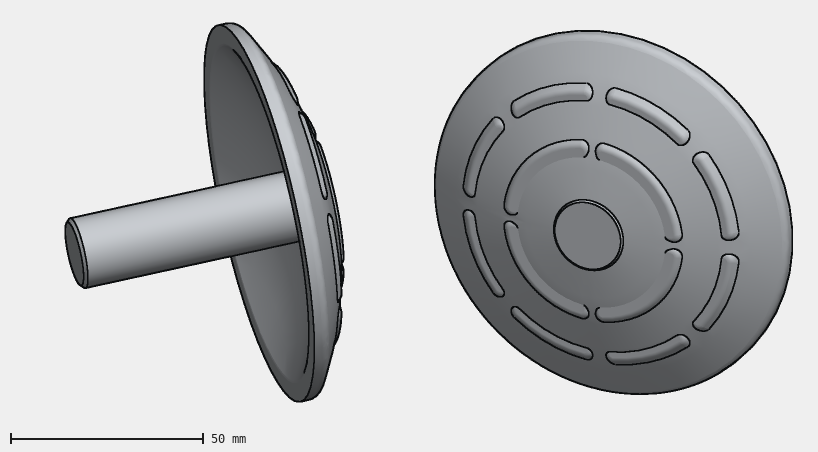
import cadquery as cq
import math

cap_radius = 50.0
dome_height = 18.3
dome_sphere_radius = 92.0
rim_fillet = 2.5

hollow_depth = 13.7
hollow_sphere_radius = 80.0
hollow_edge_fillet = 1.0

stem_radius = 9.3
stem_length = 50.0
stem_chamfer = 0.9
stem_root_fillet = 0.6

crown_foot_radius = 9.9
crown_drop = 0.6

pad_rings = [
    (4, 15.9, 24.2, 1.4),
    (8, 11.4, 37.3, 2.4),
]
pad_tread_depth = 4.0
pad_skirt = 2.2
pad_wall_slope = 45.0
pad_corner_radius = 1.5
pad_edge_fillet = 1.8


def sphere_height(apex, sphere_radius, radius):
    """Height above the rim plane of a dome surface at a distance from the axis."""
    return apex - sphere_radius + math.sqrt(sphere_radius**2 - radius**2)


def revolve_about_y(profile):
    return profile.close().revolve(360, (0, 0, 0), (0, 1, 0))


def dome_solid(apex, sphere_radius, radius):
    """Solid below a spherical surface, bounded by a cylinder and the rim plane."""
    edge_height = sphere_height(apex, sphere_radius, radius)
    middle = radius / 2
    profile = (
        cq.Workplane("XY")
        .lineTo(radius, 0)
        .lineTo(radius, edge_height)
        .threePointArc((middle, sphere_height(apex, sphere_radius, middle)), (0, apex))
    )
    return revolve_about_y(profile)


def make_cap():
    """Domed shell with a rounded outer rim and a softened edge around the hollow."""
    outer = dome_solid(dome_height, dome_sphere_radius, cap_radius)
    outer = outer.faces("%CYLINDER").edges("%CIRCLE").edges(">Y").fillet(rim_fillet)
    hollow_center = (0, hollow_depth - hollow_sphere_radius, 0)
    hollow = cq.Workplane("XY").sphere(hollow_sphere_radius).translate(hollow_center)
    cap = outer.cut(hollow)
    return cap.faces("<Y").edges(cq.selectors.RadiusNthSelector(0)).fillet(hollow_edge_fillet)


def make_stem():
    """Chamfered stem whose buried end stops inside the wall of the dome."""
    root_height = (hollow_depth + dome_height) / 2
    root_plane = cq.Workplane("XZ", origin=(0, root_height, 0))
    stem = root_plane.circle(stem_radius).extrude(root_height + stem_length)
    return stem.faces("<Y").chamfer(stem_chamfer)


def make_crown():
    """Shallow conical disc at the top of the dome."""
    foot_height = dome_height - crown_drop
    profile = (
        cq.Workplane("XY")
        .moveTo(0, foot_height)
        .lineTo(crown_foot_radius, foot_height)
        .lineTo(stem_radius, dome_height)
        .lineTo(0, dome_height)
    )
    return revolve_about_y(profile)


def make_pad(pad_count, tread_height, tread_radius, half_gap):
    """One pad with a flat tread, sloping walls and rounded corners, starting next to the +X axis."""
    inner_radius = tread_radius - pad_tread_depth
    pitch = 2 * math.pi / pad_count

    def end_point(radius, at_far_end):
        gap_angle = math.asin(half_gap / radius)
        angle = pitch - gap_angle if at_far_end else gap_angle
        return (radius * math.cos(angle), radius * math.sin(angle))

    def middle_point(radius):
        return (radius * math.cos(pitch / 2), radius * math.sin(pitch / 2))

    outline = (
        cq.Sketch()
        .segment(end_point(inner_radius, False), end_point(tread_radius, False))
        .arc(end_point(tread_radius, False), middle_point(tread_radius), end_point(tread_radius, True))
        .segment(end_point(tread_radius, True), end_point(inner_radius, True))
        .arc(end_point(inner_radius, True), middle_point(inner_radius), end_point(inner_radius, False))
        .assemble()
        .vertices()
        .fillet(pad_corner_radius)
    )
    tread_plane = cq.Workplane("XZ", origin=(0, tread_height, 0))
    pad = tread_plane.placeSketch(outline).extrude(pad_skirt, taper=-pad_wall_slope)
    return pad.faces(">Y").edges().fillet(pad_edge_fillet)


def pad_ring(pad_count, tread_height, tread_radius, half_gap):
    """All pads of one ring, evenly spaced about the Y axis."""
    pad = make_pad(pad_count, tread_height, tread_radius, half_gap)
    pitch_degrees = 360 / pad_count
    return [pad.rotate((0, 0, 0), (0, 1, 0), index * pitch_degrees) for index in range(pad_count)]


def make_body():
    """Hollow cap and stem, blended where the stem meets the hollow."""
    body = make_cap().union(make_stem())
    stem_circles = body.faces("%CYLINDER").edges("%CIRCLE").edges(cq.selectors.RadiusNthSelector(0))
    return stem_circles.edges(">Y").fillet(stem_root_fillet)


result = make_body().union(make_crown())
for ring in pad_rings:
    for pad in pad_ring(*ring):
        result = result.union(pad)